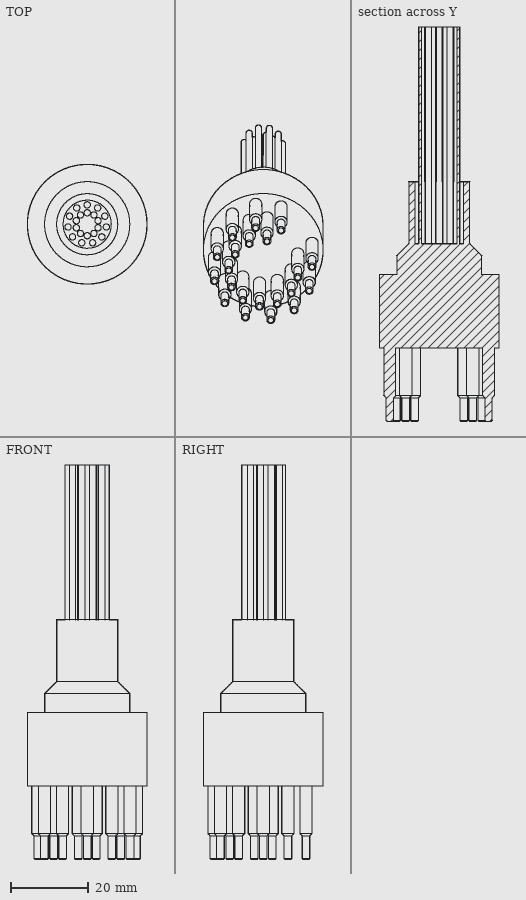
import cadquery as cq
import math

total_height = 102.0
body_bottom = 19.0
body_top = 38.0
collar_top = 42.9
cone_top = 46.0
sleeve_top = 62.0

body_diameter = 31.0
collar_diameter = 22.0
sleeve_diameter = 15.8
bore_diameter = 12.4
bore_floor = cone_top

wire_diameter = 1.6
outer_wire_count = 11
outer_wire_radius = 5.0
inner_wire_count = 10
inner_wire_radius = 3.0

barrel_diameter = 3.2
tip_diameter = 2.0
tip_length = 6.1
taper_height = 0.6
tip_chamfer = 0.3

pin_positions = 12
pin_step = 360.0 / pin_positions
outer_pin_radius = 12.8
inner_pin_radius = 9.0


def ring_points(radius, angles):
    """Points on a circle at the given angles in degrees, measured from +Y."""
    return [
        (radius * math.sin(math.radians(angle)), radius * math.cos(math.radians(angle)))
        for angle in angles
    ]


def make_body():
    """Stepped round body with a conical shoulder and a bored cable sleeve."""
    profile = [
        (0, body_bottom),
        (body_diameter / 2, body_bottom),
        (body_diameter / 2, body_top),
        (collar_diameter / 2, body_top),
        (collar_diameter / 2, collar_top),
        (sleeve_diameter / 2, cone_top),
        (sleeve_diameter / 2, sleeve_top),
        (bore_diameter / 2, sleeve_top),
        (bore_diameter / 2, bore_floor),
        (0, bore_floor),
    ]
    return cq.Workplane("XZ").polyline(profile).close().revolve(360, (0, 0), (0, 1))


def make_wires(radius, count):
    """Ring of evenly spaced straight wires standing on the bore floor."""
    angles = [index * 360.0 / count for index in range(count)]
    return (
        cq.Workplane("XY")
        .workplane(offset=bore_floor)
        .pushPoints(ring_points(radius, angles))
        .circle(wire_diameter / 2)
        .extrude(total_height - bore_floor)
    )


def make_pins(radius, angles):
    """Ring of contact pins hanging from the underside of the body."""
    profile = [
        (0, 0),
        (tip_diameter / 2 - tip_chamfer, 0),
        (tip_diameter / 2, tip_chamfer),
        (tip_diameter / 2, tip_length),
        (barrel_diameter / 2, tip_length + taper_height),
        (barrel_diameter / 2, body_bottom),
        (0, body_bottom),
    ]
    pin = cq.Workplane("XZ").polyline(profile).close().revolve(360, (0, 0), (0, 1)).val()
    return (
        cq.Workplane("XY")
        .pushPoints(ring_points(radius, angles))
        .eachpoint(lambda location: pin.moved(location))
    )


outer_pin_angles = [index * pin_step for index in range(1, pin_positions)]
inner_pin_angles = [(index + 0.5) * pin_step for index in range(1, pin_positions - 1)]

result = (
    make_body()
    .union(make_wires(outer_wire_radius, outer_wire_count))
    .union(make_wires(inner_wire_radius, inner_wire_count))
    .union(make_pins(outer_pin_radius, outer_pin_angles))
    .union(make_pins(inner_pin_radius, inner_pin_angles))
)